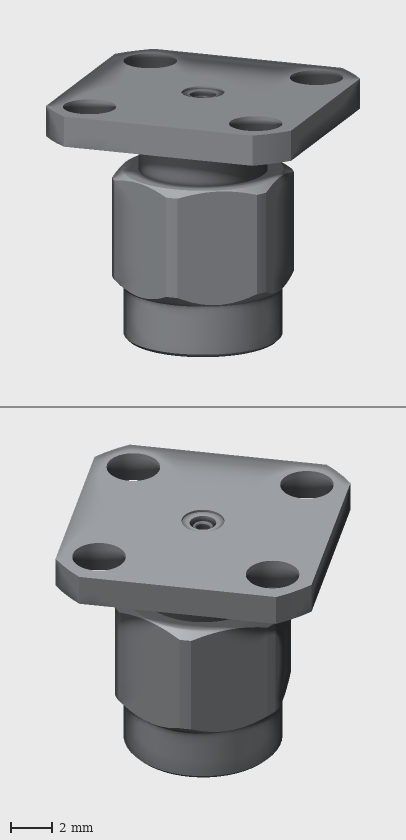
import cadquery as cq
import math

flange_side = 12.7
flange_thickness = 1.52
flange_corner_radius = 8.01
mount_hole_diameter = 2.6
mount_hole_spacing = 8.61

flare_bottom = 1.78
nut_top = 3.86
nut_bottom = 9.74
part_bottom = 12.36

neck_radius = 3.15
flare_radius = 3.34

nut_across_flats = 7.98
nut_corner_radius = 4.45
nut_top_chamfer_height = 0.3
nut_top_chamfer_width = nut_top_chamfer_height / math.tan(math.radians(30))
nut_bottom_chamfer = 0.55

collar_radius = 3.87
collar_chamfer = 0.18

recess_radius = 1.04
recess_depth = 0.11
bore_radius = 0.65
bore_depth = 1.27
pin_radius = 0.55
pin_tip_radius = 0.48
pin_tip_depth = 0.3
pin_taper_length = 0.13
socket_radius = 0.33
socket_mouth_radius = 0.38
socket_mouth_depth = 0.06


def cylinder(radius, top, bottom):
    """Upright cylinder between two levels below the flange top."""
    return cq.Workplane("XY").workplane(offset=-bottom).circle(radius).extrude(bottom - top)


def make_flange():
    plate = cq.Workplane("XY").workplane(offset=-flange_thickness)
    plate = plate.rect(flange_side, flange_side).extrude(flange_thickness)
    plate = plate.intersect(cylinder(flange_corner_radius, 0, flange_thickness))
    holes = (
        cq.Workplane("XY")
        .rect(mount_hole_spacing, mount_hole_spacing, forConstruction=True)
        .vertices()
        .circle(mount_hole_diameter / 2)
        .extrude(-flange_thickness)
    )
    return plate.cut(holes)


def revolve_profile(points):
    """Solid of revolution about Z from a closed (radius, height) outline."""
    return cq.Workplane("XZ").polyline(points).close().revolve(360, (0, 0), (0, 1))


def make_neck():
    """Revolved neck, flared where it meets the flange."""
    profile = [
        (0, -flange_thickness),
        (flare_radius, -flange_thickness),
        (neck_radius, -flare_bottom),
        (neck_radius, -nut_top),
        (0, -nut_top),
    ]
    return revolve_profile(profile)


def make_nut():
    """Hexagonal prism whose corners are turned round and chamfered at both ends."""
    across_corners = nut_across_flats / math.cos(math.radians(30))
    hexagon = (
        cq.Workplane("XY")
        .workplane(offset=-nut_bottom)
        .transformed(rotate=(0, 0, 30))
        .polygon(6, across_corners)
        .extrude(nut_bottom - nut_top)
    )
    turned_profile = [
        (0, -nut_top),
        (nut_corner_radius - nut_top_chamfer_width, -nut_top),
        (nut_corner_radius, -nut_top - nut_top_chamfer_height),
        (nut_corner_radius, -nut_bottom + nut_bottom_chamfer),
        (nut_corner_radius - nut_bottom_chamfer, -nut_bottom),
        (0, -nut_bottom),
    ]
    turned = revolve_profile(turned_profile)
    return hexagon.intersect(turned)


def make_collar():
    return cylinder(collar_radius, nut_bottom, part_bottom).faces("<Z").chamfer(collar_chamfer)


def make_pin():
    """Hollow pin with a tapered tip and a countersunk socket mouth."""
    profile = [
        (socket_mouth_radius, -pin_tip_depth),
        (pin_tip_radius, -pin_tip_depth),
        (pin_radius, -pin_tip_depth - pin_taper_length),
        (pin_radius, -bore_depth),
        (socket_radius, -bore_depth),
        (socket_radius, -pin_tip_depth - socket_mouth_depth),
    ]
    return revolve_profile(profile)


body = make_flange().union(make_neck()).union(make_nut()).union(make_collar())
body = body.cut(cylinder(recess_radius, 0, recess_depth))
body = body.cut(cylinder(bore_radius, recess_depth, bore_depth))
result = body.union(make_pin())